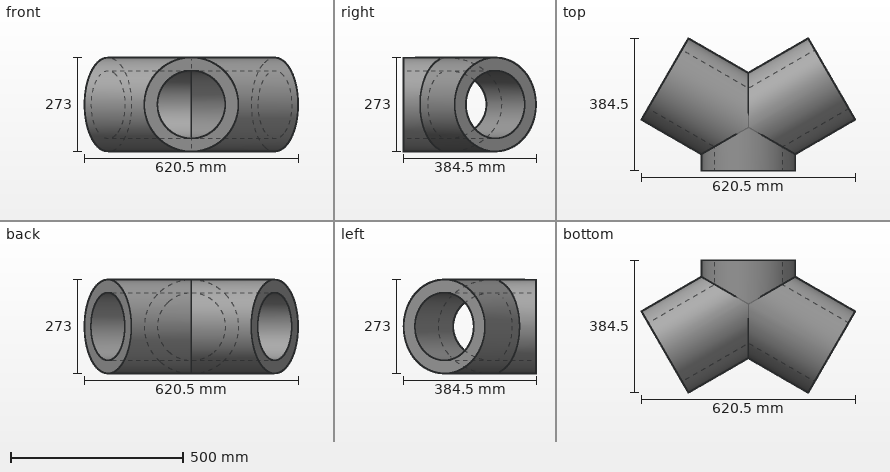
import cadquery as cq
import math

overall_width = 620.5
overall_depth = 384.5
outer_diameter = 273.0
bore_diameter = 196.5
branch_angle = 30.0
half_sector_angle = 60.0

outer_radius = outer_diameter / 2
cos_branch = math.cos(math.radians(branch_angle))
sin_branch = math.sin(math.radians(branch_angle))
branch_length = (overall_width / 2 - outer_radius * sin_branch) / cos_branch
leg_length = overall_depth - branch_length * sin_branch - outer_radius * cos_branch

arms = [
    (cq.Vector(cos_branch, sin_branch, 0), branch_length),
    (cq.Vector(-cos_branch, sin_branch, 0), branch_length),
    (cq.Vector(0, -1, 0), leg_length),
]


def arm_sector(direction):
    """Wedge of space nearer to this arm than to its neighbours."""
    reach = 2 * overall_width
    side = cq.Vector(-direction.y, direction.x, 0)
    half_width = reach * math.tan(math.radians(half_sector_angle))
    corners = [
        (0, 0),
        (direction * reach + side * half_width).toTuple()[:2],
        (direction * reach - side * half_width).toTuple()[:2],
    ]
    return cq.Workplane("XY").polyline(corners).close().extrude(reach, both=True)


def mitred_cylinders(diameter):
    """Three cylinders of one diameter, mitred together where their axes meet."""
    joined = None
    for direction, length in arms:
        start = direction * -diameter
        cylinder = cq.Solid.makeCylinder(diameter / 2, length + diameter, start, direction)
        arm = cq.Workplane(obj=cylinder).intersect(arm_sector(direction))
        joined = arm if joined is None else joined.union(arm)
    return joined


result = mitred_cylinders(outer_diameter).cut(mitred_cylinders(bore_diameter))